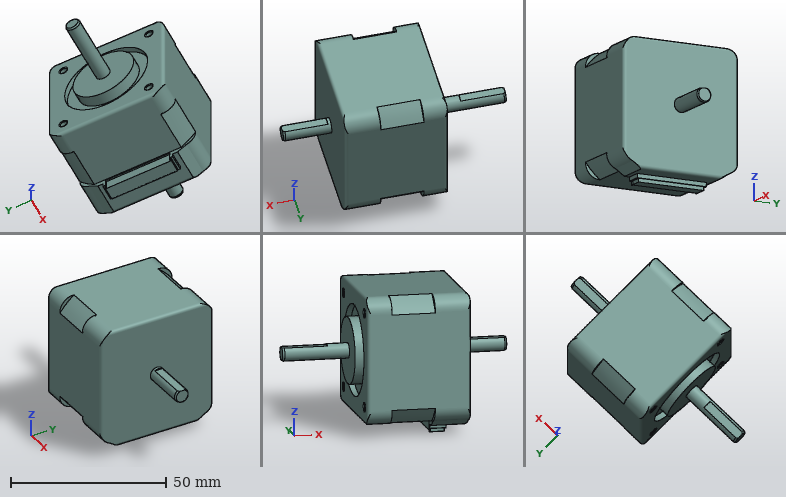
import cadquery as cq
import math


body_width = 42.0
front_cap_length = 8.0
stack_length = 14.3
rear_cap_length = 11.8
half_width = body_width / 2
corner_radius = 5.0
edge_radius = 1.1
stack_turned_radius = 26.3

lip_drop = 1.85
lip_half_width = 14.4
lip_root_rise = 0.3
total_height = 46.55
socket_length = 5.4
socket_width = 25.3
socket_drop = 3.25
plug_length = 4.95
plug_width = 23.8
plug_drop = total_height - body_width
plug_wall = 0.3
plug_recess_depth = 0.5
plug_recess_drop = 0.5

boss_radius = 11.0
boss_height = 2.0
recess_radius = 15.0
recess_depth = 2.0

hole_pitch = 31.0
hole_radius = 1.25
hole_mouth_radius = 1.55
hole_depth = 4.45
drill_point_angle = 118

total_length = 74
shaft_radius = 2.5
front_shaft_length = 24.0
shaft_chamfer_length = 0.7
shaft_chamfer_depth = 0.3
flat_height = 2.1
flat_length = 14.95

rear_cap_x = front_cap_length + stack_length
plug_bottom = -half_width - plug_drop


def block(x_start, length, width, z_bottom, z_top):
    """Box centred on Y, placed by its front end and its Z range."""
    return cq.Workplane("XY").box(length, width, z_top - z_bottom, centered=(False, True, False)).translate(
        (x_start, 0, z_bottom)
    )


def cylinder(x_start, length, radius):
    """Round bar along the shaft axis."""
    return cq.Workplane("YZ", origin=(x_start, 0, 0)).circle(radius).extrude(length)


def square_bar(x_start, length):
    """Length of the body's square section with sharp corners."""
    return block(x_start, length, body_width, -half_width, half_width)


def make_front_cap():
    rounded_bar = square_bar(0, front_cap_length).edges("|X").fillet(corner_radius)
    rounded_face = square_bar(0, front_cap_length).faces("<X").edges().fillet(edge_radius)
    return rounded_bar.intersect(rounded_face)


def make_stack():
    turned_bar = cylinder(front_cap_length, stack_length, stack_turned_radius)
    return square_bar(front_cap_length, stack_length).intersect(turned_bar)


def make_rear_cap():
    lip_root_z = -half_width + lip_root_rise
    corner_reach = math.sqrt(corner_radius**2 - (corner_radius - lip_root_rise) ** 2)
    lip_root_half_width = half_width - corner_radius + corner_reach
    lip_z = -half_width - lip_drop
    lip = (
        cq.Workplane("YZ", origin=(rear_cap_x, 0, 0))
        .moveTo(-lip_root_half_width, lip_root_z)
        .lineTo(-lip_half_width, lip_z)
        .lineTo(lip_half_width, lip_z)
        .lineTo(lip_root_half_width, lip_root_z)
        .close()
        .extrude(rear_cap_length)
    )
    outline_bar = square_bar(rear_cap_x, rear_cap_length).edges("|X").fillet(corner_radius).union(lip)
    rounded_face = (
        block(rear_cap_x, rear_cap_length, body_width, lip_z, half_width)
        .faces(">X")
        .edges()
        .fillet(edge_radius)
    )
    return outline_bar.intersect(rounded_face)


def make_connector():
    socket = block(rear_cap_x, socket_length, socket_width, -half_width - socket_drop, -half_width)
    plug = block(rear_cap_x, plug_length, plug_width, plug_bottom, -half_width)
    return socket.union(plug)


def make_plug_recess():
    """Shallow recess across the front of the plug and the lip, open at the bottom."""
    recess_width = plug_width - 2 * plug_wall
    return block(rear_cap_x, plug_recess_depth, recess_width, plug_bottom, -half_width - plug_recess_drop)


def make_mounting_hole():
    """Blind hole from X = 0 with a countersunk mouth and a drill-point bottom."""
    mouth_depth = hole_mouth_radius - hole_radius
    point_depth = hole_radius / math.tan(math.radians(drill_point_angle / 2))
    return (
        cq.Workplane("XY")
        .moveTo(0, 0)
        .lineTo(0, hole_mouth_radius)
        .lineTo(mouth_depth, hole_radius)
        .lineTo(hole_depth, hole_radius)
        .lineTo(hole_depth + point_depth, 0)
        .close()
        .revolve(360, (0, 0, 0), (1, 0, 0))
    )


def make_shaft():
    shaft = cylinder(-front_shaft_length, total_length, shaft_radius)
    shaft = shaft.faces("<X or >X").edges().chamfer(shaft_chamfer_length, shaft_chamfer_depth)
    rear_end = total_length - front_shaft_length
    for flat_start in (-front_shaft_length, rear_end - flat_length):
        shaft = shaft.cut(block(flat_start, flat_length, 2 * shaft_radius, flat_height, shaft_radius))
    return shaft


body = make_front_cap().union(make_stack()).union(make_rear_cap()).union(make_connector())
body = body.cut(make_plug_recess())

body = body.cut(cylinder(0, recess_depth, recess_radius))
body = body.union(cylinder(-boss_height, boss_height + recess_depth, boss_radius))

for y_side in (-1, 1):
    for z_side in (-1, 1):
        hole_position = (0, y_side * hole_pitch / 2, z_side * hole_pitch / 2)
        body = body.cut(make_mounting_hole().translate(hole_position))

result = body.union(make_shaft())